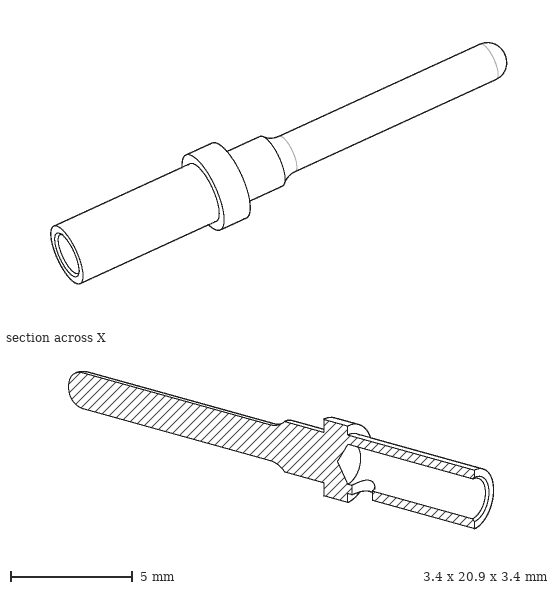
import cadquery as cq
import math

total_length = 20.85

barrel_radius = 2.6 / 2
barrel_length = 6.5
flange_radius = 3.4 / 2
flange_length = 1.25
shoulder_radius = 2.25 / 2
shoulder_length = 2.0
neck_length = 0.75
pin_radius = 1.6 / 2
tip_round = 0.73

bore_radius = 1.75 / 2
bore_depth = 6.5
bore_chamfer = 0.1
drill_point_angle = 118.0

inspection_diameter = 1.05
inspection_position = 5.78

flange_end = barrel_length + flange_length
shoulder_end = flange_end + shoulder_length
neck_end = shoulder_end + neck_length
tip_start = total_length - tip_round


def turned_body():
    neck_rise = shoulder_radius - pin_radius
    neck_arc_radius = (neck_length**2 + neck_rise**2) / (2 * neck_rise)
    profile = (
        cq.Workplane("XY")
        .lineTo(barrel_radius, 0)
        .lineTo(barrel_radius, barrel_length)
        .lineTo(flange_radius, barrel_length)
        .lineTo(flange_radius, flange_end)
        .lineTo(shoulder_radius, flange_end)
        .lineTo(shoulder_radius, shoulder_end)
        .radiusArc((pin_radius, neck_end), neck_arc_radius)
        .lineTo(pin_radius, tip_start)
        .radiusArc((pin_radius - tip_round, total_length), -tip_round)
        .lineTo(0, total_length)
        .close()
    )
    return profile.revolve(360, (0, 0, 0), (0, 1, 0))


def wire_bore():
    point_length = bore_radius / math.tan(math.radians(drill_point_angle / 2))
    profile = (
        cq.Workplane("XY")
        .lineTo(bore_radius + bore_chamfer, 0)
        .lineTo(bore_radius, bore_chamfer)
        .lineTo(bore_radius, bore_depth)
        .lineTo(0, bore_depth + point_length)
        .close()
    )
    return profile.revolve(360, (0, 0, 0), (0, 1, 0))


def inspection_hole():
    return (
        cq.Workplane("XY")
        .center(0, inspection_position)
        .circle(inspection_diameter / 2)
        .extrude(-flange_radius)
    )


result = turned_body().cut(wire_bore()).cut(inspection_hole())